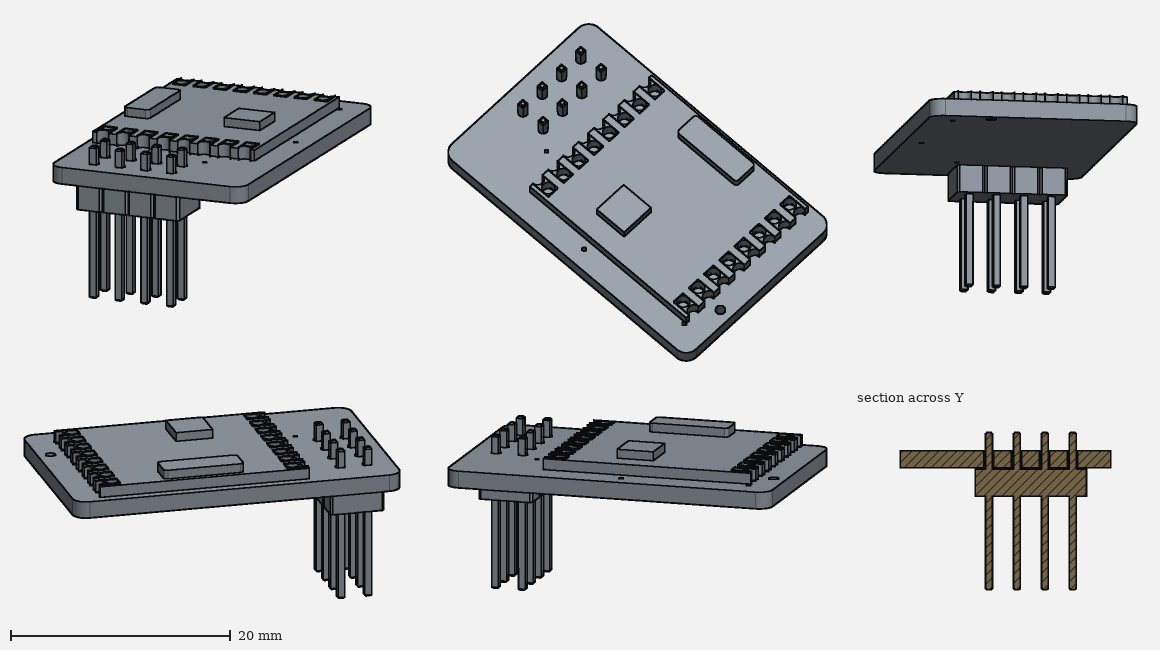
import cadquery as cq

board_width = 19.17
board_length = 30.77
board_thickness = 1.57
board_corner_radius = 1.25
mounting_hole = (3.88, 14.15, 0.9)
vias = [(7.17, 12.77, 0.4), (7.9, 0.85, 0.4), (2.95, -8.65, 0.35)]

module_x = -0.92
module_y = 3.08
module_width = 16.0
module_length = 19.7
module_thickness = 1.02
pad_thickness = 0.1
pad_count = 8
pad_pitch = 2.0
pad_width = 1.23
pad_length = 1.97
pad_hole_diameter = 1.2
pad_hole_inset = 1.35

component_height = 0.83
antenna_x = -7.17
antenna_y = 3.02
antenna_width = 2.5
antenna_length = 7.5
antenna_corner_radius = 0.35
chip_x = 3.15
chip_y = 1.3
chip_width = 3.55
chip_length = 3.45

header_x = -2.3
header_y = -11.72
header_length = 10.15
pin_columns = 4
pin_rows = 2
pin_pitch = header_length / pin_columns
pin_side = 0.65
pin_tip_chamfer = 0.14
pin_rise = 1.65
pin_hole_diameter = 0.9
pin_hole_offset = 0.03
housing_gap = 0.1
housing_height = 2.5
housing_chamfer = 0.22
overall_height = 14.6

module_bottom = board_thickness + pad_thickness
module_top = module_bottom + module_thickness
pad_top = module_top + pad_thickness
pin_top = board_thickness + pin_rise
pin_bottom = module_top + component_height - overall_height

pad_columns_x = [module_x + (i - (pad_count - 1) / 2) * pad_pitch for i in range(pad_count)]
column_x = [header_x + (i - (pin_columns - 1) / 2) * pin_pitch for i in range(pin_columns)]
row_y = [header_y + (i - (pin_rows - 1) / 2) * pin_pitch for i in range(pin_rows)]
pin_points = [(x, y) for x in column_x for y in row_y]
pin_hole_points = [(x + pin_hole_offset, y + pin_hole_offset) for x, y in pin_points]


def block(center, width, length, bottom, top):
    """Upright rectangular block between two levels."""
    plane = cq.Workplane("XY", origin=(center[0], center[1], bottom))
    return plane.rect(width, length).extrude(top - bottom)


def cylinders(points, diameter, bottom, top):
    """Upright cylinders of one diameter between two levels."""
    plane = cq.Workplane("XY", origin=(0, 0, bottom))
    return plane.pushPoints(points).circle(diameter / 2).extrude(top - bottom)


def make_board():
    board = block((0, 0), board_width, board_length, 0, board_thickness)
    board = board.edges("|Z").fillet(board_corner_radius)
    for x, y, diameter in [mounting_hole] + vias:
        board = board.cut(cylinders([(x, y)], diameter, 0, board_thickness))
    return board.cut(cylinders(pin_hole_points, pin_hole_diameter, 0, board_thickness))


def make_module():
    """Module plate with two rows of pads, each with an edge notch and a hole."""
    module = block((module_x, module_y), module_width, module_length, module_bottom, module_top)
    cut_points = []
    for side in (-1, 1):
        edge_y = module_y + side * module_length / 2
        pad_y = edge_y - side * pad_length / 2
        hole_y = edge_y - side * pad_hole_inset
        for x in pad_columns_x:
            module = module.union(block((x, pad_y), pad_width, pad_length, board_thickness, pad_top))
            cut_points += [(x, edge_y), (x, hole_y)]
    return module.cut(cylinders(cut_points, pad_hole_diameter, board_thickness, pad_top))


def make_components():
    top = module_top + component_height
    antenna = block((antenna_x, antenna_y), antenna_width, antenna_length, module_top, top)
    antenna = antenna.edges("|Z").fillet(antenna_corner_radius)
    chip = block((chip_x, chip_y), chip_width, chip_length, module_top, top)
    return antenna.union(chip)


def make_header():
    """One chamfered housing cell per pin column, with square pins through them."""
    header = cq.Workplane("XY")
    for x in column_x:
        cell = block(
            (x, header_y), pin_pitch, pin_rows * pin_pitch, -housing_gap - housing_height, -housing_gap
        )
        header = header.union(cell.edges("|Z").chamfer(housing_chamfer))
    for point in pin_points:
        pin = block(point, pin_side, pin_side, pin_bottom, pin_top)
        header = header.union(pin.faces("<Z or >Z").chamfer(pin_tip_chamfer))
    return header


result = make_board().union(make_module()).union(make_components()).union(make_header())